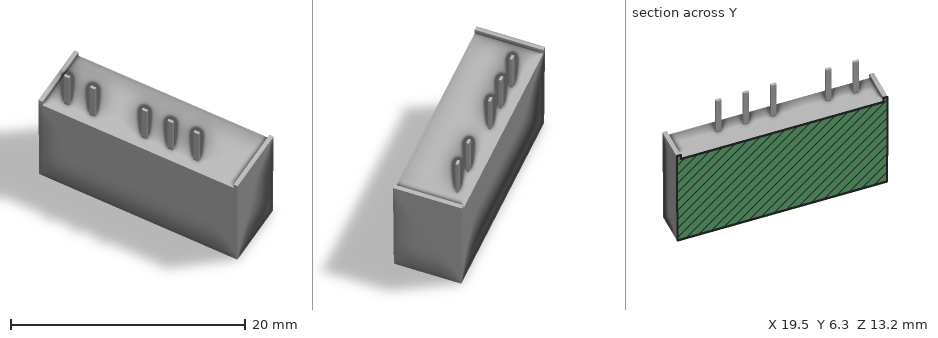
import cadquery as cq

length = 19.5
width = 6.3
case_height = 9.98
base_inset = 0.05

lip_thickness = 0.4
lip_height = 0.47

overall_height = 13.2
pin_length_x = 0.5
pin_length_y = 0.25
pin_pitch = 2.54
pin_row_y = -1.95
pin_positions = (-3, -2, 0, 1, 2)

floor_z = case_height - lip_height


def make_case():
    """Tapered block with a full-width step between the two end lips."""
    block = (
        cq.Workplane("XY")
        .rect(length - 2 * base_inset, width - 2 * base_inset)
        .workplane(offset=case_height)
        .rect(length, width)
        .loft(ruled=True)
    )
    recess = (
        cq.Workplane("XY", origin=(0, 0, floor_z))
        .rect(length - 2 * lip_thickness, width)
        .extrude(lip_height)
    )
    return block.cut(recess)


def make_pins():
    """Row of pins standing on the lowered top face."""
    centres = [(position * pin_pitch, pin_row_y) for position in pin_positions]
    return (
        cq.Workplane("XY", origin=(0, 0, floor_z))
        .pushPoints(centres)
        .rect(pin_length_x, pin_length_y)
        .extrude(overall_height - floor_z)
    )


result = make_case().union(make_pins())